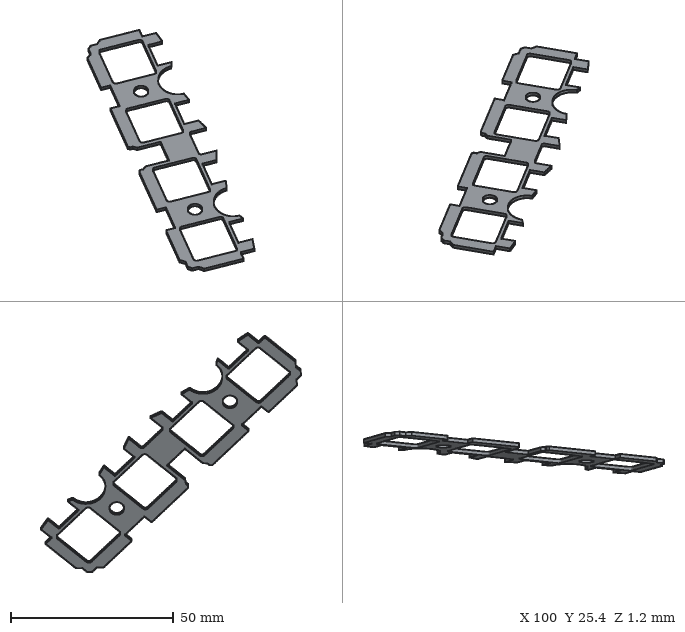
import cadquery as cq
import math

length = 100.0
width = 25.42
thickness = 1.2
half_length = length / 2
bottom = -11.25
top = bottom + width

pitch = 25.8
window_length = 14.9
window_height = 14.15
window_radius = 1.0
hole_diameter = 4.5

shoulder = bottom + 18.9
slot_floor = bottom + 19.5
tab_tip = bottom + 24.1
tab_low = bottom + 23.4
end_tab_side = 47.15
slot_length = 9.0
inner_slot_start = 8.65
outer_slot_start = 34.2
scallop_x = 26.65
scallop_radius = 6.0
recess_half_length = 4.95
recess_floor = bottom + 19.8
recess_radius = 0.8

center_notch_half_length = 4.07
center_notch_ceiling = bottom + 10.2
edge_notch_length = 9.0
edge_notch_depth = 3.0
mouth_step_x = 4.95
mouth_step_low = bottom + 0.5
mouth_step_high = bottom + 1.5
mouth_taper_top = bottom + 2.55
mouth_chamfer = 0.5

bottom_edge_end = 44.15
ledge_start = 45.4
ledge_end = 47.6
ledge_height = bottom + 1.5
end_ledge_x = 48.65
end_ledge_low = bottom + 2.6
end_ledge_high = bottom + 4.65
end_edge_low = bottom + 6.05


def half_plate():
    """Positive X half of the plate, without windows and holes."""
    scallop_bottom = (scallop_x, tab_low - scallop_radius)
    scallop_start = (scallop_x - scallop_radius, tab_low)
    scallop_end = (scallop_x + scallop_radius, tab_low)
    inner_slot_end = inner_slot_start + slot_length
    outer_slot_end = outer_slot_start + slot_length
    fillet_offset = recess_radius * (1 - math.sqrt(0.5))
    outline = (
        cq.Workplane("XY")
        .moveTo(0, center_notch_ceiling)
        .lineTo(center_notch_half_length, center_notch_ceiling)
        .lineTo(center_notch_half_length, mouth_taper_top)
        .lineTo(mouth_step_x, mouth_step_high)
        .lineTo(mouth_step_x, mouth_step_low)
        .lineTo(mouth_step_x + mouth_chamfer, bottom)
        .lineTo(bottom_edge_end, bottom)
        .lineTo(ledge_start, ledge_height)
        .lineTo(ledge_end, ledge_height)
        .lineTo(end_ledge_x, end_ledge_low)
        .lineTo(end_ledge_x, end_ledge_high)
        .lineTo(half_length, end_edge_low)
        .lineTo(half_length, shoulder)
        .lineTo(end_tab_side, shoulder)
        .lineTo(end_tab_side, tab_low)
        .lineTo(outer_slot_end, tab_tip)
        .lineTo(outer_slot_end, slot_floor)
        .lineTo(outer_slot_start, slot_floor)
        .lineTo(outer_slot_start, tab_tip)
        .lineTo(*scallop_end)
        .threePointArc(scallop_bottom, scallop_start)
        .lineTo(inner_slot_end, tab_tip)
        .lineTo(inner_slot_end, slot_floor)
        .lineTo(inner_slot_start, slot_floor)
        .lineTo(inner_slot_start, tab_tip)
        .lineTo(recess_half_length, top)
        .lineTo(recess_half_length, recess_floor + recess_radius)
        .threePointArc(
            (recess_half_length - fillet_offset, recess_floor + fillet_offset),
            (recess_half_length - recess_radius, recess_floor),
        )
        .lineTo(0, recess_floor)
        .close()
    )
    return outline.extrude(thickness)


def window_cutter():
    """Two rounded rectangular windows, half a pitch either side of the round hole."""
    centers = [(pitch / 2, 0), (3 * pitch / 2, 0)]
    return (
        cq.Workplane("XY")
        .pushPoints(centers)
        .rect(window_length, window_height)
        .extrude(thickness)
        .edges("|Z")
        .fillet(window_radius)
    )


def hole_cutter():
    """Round through hole midway between the two windows."""
    return cq.Workplane("XY").center(pitch, 0).circle(hole_diameter / 2).extrude(thickness)


def edge_notch_cutter():
    """Rectangular notch in the lower edge, in line with the scallop."""
    return (
        cq.Workplane("XY")
        .center(scallop_x, bottom + edge_notch_depth / 2)
        .rect(edge_notch_length, edge_notch_depth)
        .extrude(thickness)
    )


half = half_plate().cut(window_cutter()).cut(hole_cutter()).cut(edge_notch_cutter())
result = half.union(half.mirror("YZ")).clean()